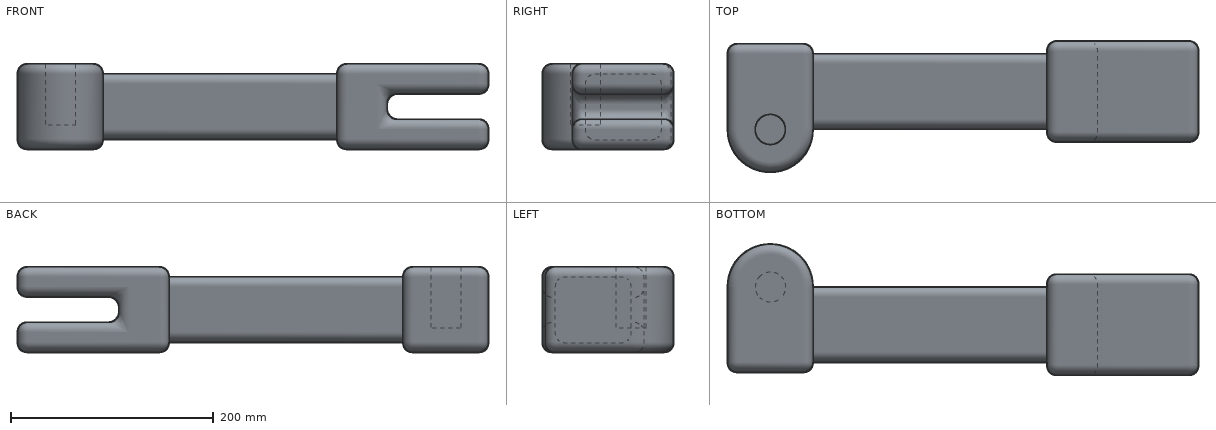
import cadquery as cq

total_length = 466.0
height = 85.0
edge_radius = 10.0

head_width = height
head_reach = 85.0
bore_diameter = 30.0
bore_depth = 60.0

arm_width = 75.0
arm_height = 65.2

fork_length = 150.0
fork_width = 100.0
slot_depth = 100.0
slot_height = 24.5
selection_margin = 2.5

head_radius = head_width / 2
arm_center_y = arm_width / 2
fork_end_x = total_length - head_radius
fork_start_x = fork_end_x - fork_length
slot_start_x = fork_end_x - slot_depth


def make_head():
    """Pivot block with one half-round end, rounded on all sharp edges."""
    block = (
        cq.Workplane("XY")
        .workplane(offset=-height / 2)
        .moveTo(-head_radius, 0)
        .threePointArc((0, -head_radius), (head_radius, 0))
        .lineTo(head_radius, head_reach)
        .lineTo(-head_radius, head_reach)
        .close()
        .extrude(height)
    )
    rounded = block.edges("|Z and >Y").fillet(edge_radius)
    return rounded.faces("<Z or >Z").edges().fillet(edge_radius)


def make_arm():
    """Straight bar from the head to the fork with rounded long edges."""
    return (
        cq.Workplane("YZ")
        .center(arm_center_y, 0)
        .rect(arm_width, arm_height)
        .extrude(fork_start_x + edge_radius)
        .edges("|X")
        .fillet(edge_radius)
    )


def make_fork():
    """Fork open toward +X, rounded on every edge, including the slot."""
    half_height = height / 2
    half_slot = slot_height / 2
    outline = [
        (fork_start_x, -half_height),
        (fork_end_x, -half_height),
        (fork_end_x, -half_slot),
        (slot_start_x, -half_slot),
        (slot_start_x, half_slot),
        (fork_end_x, half_slot),
        (fork_end_x, half_height),
        (fork_start_x, half_height),
    ]
    block = (
        cq.Workplane("XZ", origin=(0, arm_center_y, 0))
        .polyline(outline)
        .close()
        .extrude(fork_width / 2, both=True)
    )
    slot_corners = cq.selectors.BoxSelector(
        (slot_start_x - selection_margin, arm_center_y - fork_width, -slot_height),
        (slot_start_x + selection_margin, arm_center_y + fork_width, slot_height),
    ) & cq.selectors.ParallelDirSelector(cq.Vector(0, 1, 0))
    rounded = block.edges(-slot_corners).fillet(edge_radius)
    return rounded.edges(slot_corners).fillet(edge_radius)


bore = (
    cq.Workplane("XY")
    .workplane(offset=height / 2 - bore_depth)
    .circle(bore_diameter / 2)
    .extrude(bore_depth)
)

result = make_head().union(make_arm()).union(make_fork()).cut(bore)